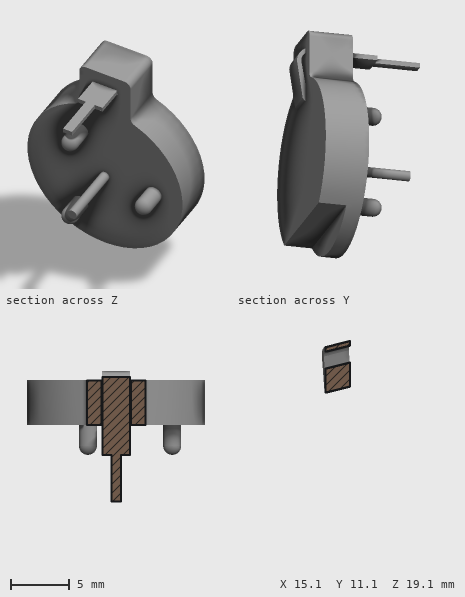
import cadquery as cq
import math

total_height = 19.05
disc_radius = 7.55
body_depth = 3.83
tab_half_width = 2.5
corner_radius = 0.63
tab_top = total_height - disc_radius

floor_thickness = 1.4
step_height = 2.23

peg_count = 3
peg_radius = 0.76
peg_circle_radius = 4.76
peg_reach = 2.53
pin_radius = 0.44
pin_reach = 5.68

terminal_top = 10.2
terminal_thickness = 0.42
terminal_width = 2.38
terminal_shoulder_reach = 2.53
tail_width = 0.88
tail_reach = 6.48
slot_width = 2.5
terminal_bottom = terminal_top - terminal_thickness
spring_bulge = 0.75
spring_bend_height = 9.05
spring_tip_offset = 0.23
spring_tip_height = 5.65
spring_end_height = 5.4
spring_inner_end_height = 7.01
spring_thickness = 0.38
bend_mid_height = 9.52
outer_bend_mid_offset = 0.63
inner_bend_mid_height = 9.4
inner_bend_mid_offset = 0.29


def box(width, y_start, y_end, z_start, z_end):
    """Box centred on X = 0 between the given Y and Z limits."""
    size = (width, y_end - y_start, z_end - z_start)
    return cq.Workplane("XY").box(*size, centered=(True, False, False)).translate((0, y_start, z_start))


def rod(x, z, radius, reach):
    """Round rod reaching forward from the middle of the body."""
    start = body_depth / 2
    return cq.Workplane("XZ", origin=(x, start, z)).circle(radius).extrude(start + reach)


def make_body():
    disc = cq.Workplane("XZ").circle(disc_radius).extrude(-body_depth)
    tab = box(2 * tab_half_width, 0, body_depth, 0, tab_top)
    tab = tab.edges("|Y and >Z").fillet(corner_radius)
    body = disc.union(tab)
    neck_height = math.sqrt(disc_radius**2 - tab_half_width**2)
    neck_box = cq.selectors.BoxSelector(
        (-tab_half_width - 0.2, -0.2, neck_height - 0.2),
        (tab_half_width + 0.2, body_depth + 0.2, neck_height + 0.2),
    )
    body = body.edges("|Y").edges(neck_box).fillet(corner_radius)
    step_top = step_height - disc_radius
    return body.cut(box(2 * disc_radius, floor_thickness, body_depth, -disc_radius, step_top))


def make_peg(angle):
    x = peg_circle_radius * math.cos(angle)
    z = peg_circle_radius * math.sin(angle)
    straight_reach = peg_reach - peg_radius
    dome = cq.Workplane("XY").sphere(peg_radius).translate((x, -straight_reach, z))
    return rod(x, z, peg_radius, straight_reach).union(dome)


def make_terminal():
    blade = box(terminal_width, -terminal_shoulder_reach, body_depth, terminal_bottom, terminal_top)
    tail = box(tail_width, -tail_reach, 0, terminal_bottom, terminal_top)
    return blade.union(tail)


def make_spring():
    """Bent strip behind the tab, rooted inside the body at both ends."""
    root = body_depth - terminal_thickness
    outer_y = body_depth + spring_bulge
    inner_y = outer_y - spring_thickness
    profile = (
        cq.Workplane("YZ", origin=(-terminal_width / 2, 0, 0))
        .moveTo(root, terminal_top)
        .lineTo(body_depth, terminal_top)
        .threePointArc((body_depth + outer_bend_mid_offset, bend_mid_height), (outer_y, spring_bend_height))
        .lineTo(body_depth + spring_tip_offset, spring_tip_height)
        .lineTo(body_depth, spring_end_height)
        .lineTo(root, spring_end_height)
        .lineTo(root, spring_inner_end_height)
        .lineTo(body_depth, spring_inner_end_height)
        .lineTo(inner_y, spring_bend_height)
        .threePointArc(
            (body_depth + inner_bend_mid_offset, inner_bend_mid_height),
            (body_depth, terminal_bottom),
        )
        .lineTo(root, terminal_bottom)
        .close()
    )
    return profile.extrude(terminal_width)


slot = box(slot_width, 0, body_depth, terminal_bottom, terminal_top)
result = make_body().cut(slot).union(make_terminal()).union(make_spring())
for index in range(peg_count):
    result = result.union(make_peg(2 * math.pi * index / peg_count))
result = result.union(rod(0, 0, pin_radius, pin_reach))